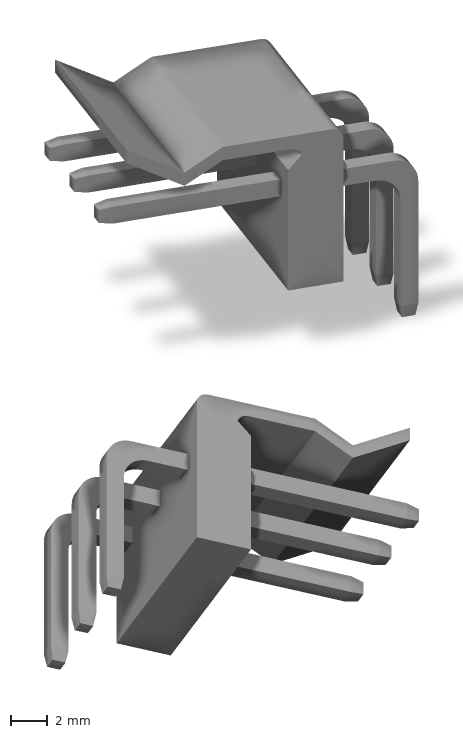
import cadquery as cq
import math


housing_width = 11.49
housing_depth = 3.2
housing_height = 9.45
back_edge_radius = 0.67

arm_thickness = 0.81
arm_bend_reach = 7.0
arm_valley_reach = 9.21
arm_tip_reach = 12.58
arm_valley_drop = 1.18
arm_tip_rise = 0.8

relief_chamfer = 0.8
relief_chamfer_drop = 2.07
relief_radius = 0.67

pin_count = 3
pin_pitch = 3.95
pin_thickness = 1.04
pin_width = 1.0
pin_axis_height = 5.68
pin_length = 18.5
pin_back_reach = 4.81
pin_foot_level = -3.53
bend_outer_radius = 1.46
bend_inner_radius = 1.42
tip_length = 0.75
tip_end_size = 0.78


def make_housing():
    """Housing block and latching arm, extruded across the full width."""
    top = housing_height
    arm_underside = top - arm_thickness
    valley_top = top - arm_valley_drop
    tip_top = top + arm_tip_rise

    chamfer_start = top - relief_chamfer_drop
    relief_y = relief_chamfer - housing_depth
    relief_z = chamfer_start + relief_chamfer

    center_z = arm_underside - relief_radius
    arc_angle = math.acos((relief_z - center_z) / relief_radius)
    center_y = relief_y - relief_radius * math.sin(arc_angle)
    arc_mid_y = center_y + relief_radius * math.sin(arc_angle / 2)
    arc_mid_z = center_z + relief_radius * math.cos(arc_angle / 2)

    profile = (
        cq.Workplane("YZ")
        .moveTo(0, 0)
        .lineTo(0, top - back_edge_radius)
        .radiusArc((-back_edge_radius, top), -back_edge_radius)
        .lineTo(-arm_bend_reach, top)
        .lineTo(-arm_valley_reach, valley_top)
        .lineTo(-arm_tip_reach, tip_top)
        .lineTo(-arm_tip_reach, tip_top - arm_thickness)
        .lineTo(-arm_valley_reach, valley_top - arm_thickness)
        .lineTo(-arm_bend_reach, arm_underside)
        .lineTo(center_y, arm_underside)
        .threePointArc((arc_mid_y, arc_mid_z), (relief_y, relief_z))
        .lineTo(-housing_depth, chamfer_start)
        .lineTo(-housing_depth, 0)
        .close()
    )
    return profile.extrude(housing_width / 2, both=True)


def make_tip(plane):
    """Tapered pin end with a square tip, growing along the normal of the given plane."""
    return (
        cq.Workplane(plane)
        .rect(pin_width, pin_thickness)
        .workplane(offset=tip_length)
        .rect(tip_end_size, tip_end_size)
        .loft(ruled=True)
    )


def make_pin():
    """One L-shaped pin centred on X = 0, with both ends tapered."""
    top = pin_axis_height + pin_thickness / 2
    underside = top - pin_thickness
    back = pin_back_reach
    leg_front = back - pin_thickness
    front_shoulder = back - pin_length + tip_length
    foot_shoulder = pin_foot_level + tip_length

    shank = (
        cq.Workplane("YZ")
        .moveTo(front_shoulder, top)
        .lineTo(back - bend_outer_radius, top)
        .radiusArc((back, top - bend_outer_radius), bend_outer_radius)
        .lineTo(back, foot_shoulder)
        .lineTo(leg_front, foot_shoulder)
        .lineTo(leg_front, underside - bend_inner_radius)
        .radiusArc((leg_front - bend_inner_radius, underside), -bend_inner_radius)
        .lineTo(front_shoulder, underside)
        .close()
        .extrude(pin_width / 2, both=True)
    )
    leg_axis = back - pin_thickness / 2
    front_plane = cq.Plane((0, front_shoulder, pin_axis_height), (1, 0, 0), (0, -1, 0))
    foot_plane = cq.Plane((0, leg_axis, foot_shoulder), (1, 0, 0), (0, 0, -1))
    return shank.union(make_tip(front_plane)).union(make_tip(foot_plane))


result = make_housing()
pin = make_pin()
for index in range(pin_count):
    pin_x = (index - (pin_count - 1) / 2) * pin_pitch
    result = result.union(pin.translate((pin_x, 0, 0)))